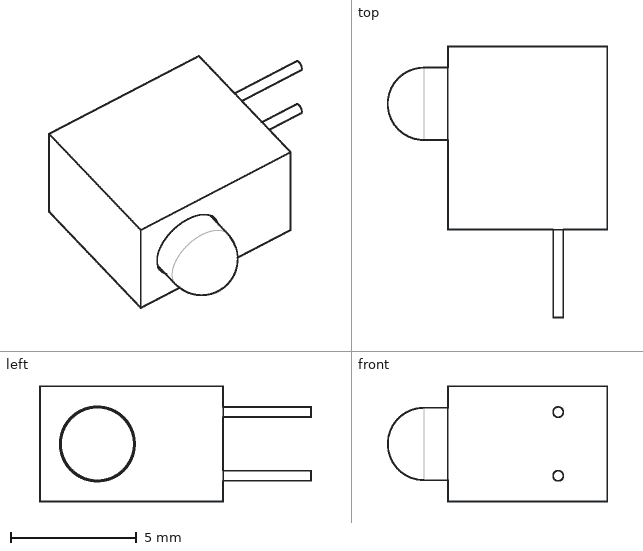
import cadquery as cq

body_length_x = 6.35
body_length_y = 7.3
body_height = 4.6

lens_radius = 1.45
lens_reach = 2.4
lens_inset_y = 2.29
bore_radius = 1.5
bore_depth = 1.0

lead_radius = 0.2
lead_length = 3.5
lead_pitch = 2.54
lead_x = 4.4

lens_y = body_length_y - lens_inset_y
lens_barrel = lens_reach - lens_radius


def make_body():
    """Block with a clearance bore around the lens."""
    block = cq.Workplane("XY").box(
        body_length_x, body_length_y, body_height, centered=(False, False, True)
    )
    bore = cq.Workplane("YZ").center(lens_y, 0).circle(bore_radius).extrude(bore_depth)
    return block.cut(bore)


def make_lens():
    """Round-nosed lens standing on the floor of the bore."""
    barrel = (
        cq.Workplane("YZ", origin=(-lens_barrel, lens_y, 0))
        .circle(lens_radius)
        .extrude(lens_barrel + bore_depth)
    )
    dome = cq.Workplane("XY").sphere(lens_radius).translate((-lens_barrel, lens_y, 0))
    return barrel.union(dome)


def make_lead(z):
    """Straight round lead at height z."""
    return (
        cq.Workplane("XZ", origin=(lead_x, 0, z))
        .circle(lead_radius)
        .extrude(lead_length)
    )


result = make_body().union(make_lens())
for side in (-1, 1):
    result = result.union(make_lead(side * lead_pitch / 2))